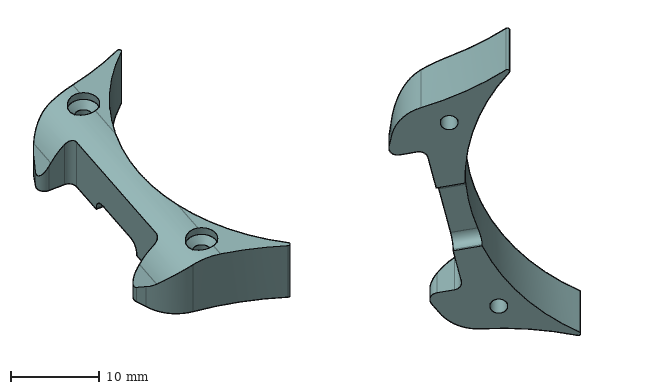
import cadquery as cq
import math

length = 38.8
depth = 15.75
height = 7.8

tip_radius = 0.27
tip_side_angle = 204.0
rear_radius = 25.05

side_mid = (16.75, 8.05)
side_end = (16.15, 4.8)
corner_end = (12.73, 0.62)
foot_inner_x = 10.05
foot_radius = 1.0
foot_slope = 22.0

recess_depth = 4.07
recess_radius = 1.0

crown_start_y = 8.05
crown_radius = 8.0
crown_end_z = 4.07

notch_width = 9.15
notch_height = 1.63
notch_radius = 1.4

hole_x = 13.4
hole_y = 7.5
hole_diameter = 2.0
head_diameter = 3.7
head_wall_depth = 1.0
cone_depth = (head_diameter - hole_diameter) / 2


def on_circle(center, radius, degrees):
    angle = math.radians(degrees)
    return center[0] + radius * math.cos(angle), center[1] + radius * math.sin(angle)


def mirrored(point):
    return -point[0], point[1]


def make_half_blank():
    """Extrude the left half of the plan outline, up to the X = 0 plane."""
    tip = (tip_radius - length / 2, depth - tip_radius)
    rear_center_y = tip[1] + math.sqrt((rear_radius + tip_radius) ** 2 - tip[0] ** 2)
    tip_rear_angle = math.degrees(math.atan2(rear_center_y - tip[1], -tip[0]))
    rear_center = (0, rear_center_y)
    rear_start_angle = tip_rear_angle + 180
    foot_center = (-foot_inner_x - foot_radius, foot_radius)
    recess_center = (-foot_inner_x + recess_radius, recess_depth - recess_radius)
    foot_face_angle = 270 - foot_slope

    return (
        cq.Workplane("XY")
        .moveTo(0, rear_center_y - rear_radius)
        .threePointArc(
            on_circle(rear_center, rear_radius, (rear_start_angle + 270) / 2),
            on_circle(rear_center, rear_radius, rear_start_angle),
        )
        .threePointArc(
            on_circle(tip, tip_radius, (tip_rear_angle + tip_side_angle) / 2),
            on_circle(tip, tip_radius, tip_side_angle),
        )
        .threePointArc(mirrored(side_mid), mirrored(side_end))
        .tangentArcPoint(mirrored(corner_end), relative=False)
        .lineTo(*on_circle(foot_center, foot_radius, foot_face_angle))
        .threePointArc(
            on_circle(foot_center, foot_radius, (foot_face_angle + 360) / 2),
            on_circle(foot_center, foot_radius, 0),
        )
        .lineTo(-foot_inner_x, recess_center[1])
        .threePointArc(
            on_circle(recess_center, recess_radius, 135),
            on_circle(recess_center, recess_radius, 90),
        )
        .lineTo(0, recess_depth)
        .close()
        .extrude(height)
    )


def make_crown_envelope():
    """Side profile: flat top, convex arc, then a tangent slope to the front."""
    center = (crown_start_y, height - crown_radius)
    end_angle = 180 - math.degrees(math.asin((crown_end_z - center[1]) / crown_radius))
    slope_start = on_circle(center, crown_radius, end_angle)
    front_z = crown_end_z - slope_start[0] / math.tan(math.radians(180 - end_angle))
    return (
        cq.Workplane("YZ")
        .moveTo(0, 0)
        .lineTo(depth, 0)
        .lineTo(depth, height)
        .lineTo(crown_start_y, height)
        .threePointArc(on_circle(center, crown_radius, (90 + end_angle) / 2), slope_start)
        .lineTo(0, front_z)
        .close()
        .extrude(length / 2, both=True)
    )


def make_notch():
    """Cutter with rounded upper corners, running through along Y."""
    return (
        cq.Workplane("XY")
        .box(notch_width, depth, notch_height, centered=(True, False, False))
        .edges("|Y and >Z")
        .fillet(notch_radius)
    )


def make_screw_cutter(x):
    """Through hole with a conical seat below a cylindrical head recess."""
    cone_top = height - head_wall_depth
    return (
        cq.Workplane("XZ", origin=(x, hole_y, 0))
        .lineTo(hole_diameter / 2, 0)
        .lineTo(hole_diameter / 2, cone_top - cone_depth)
        .lineTo(head_diameter / 2, cone_top)
        .lineTo(head_diameter / 2, height)
        .lineTo(0, height)
        .close()
        .revolve(360, (0, 0), (0, 1))
    )


half = make_half_blank()
result = half.union(half.mirror("YZ")).clean()
result = result.intersect(make_crown_envelope()).cut(make_notch())
for side in (-1, 1):
    result = result.cut(make_screw_cutter(side * hole_x))